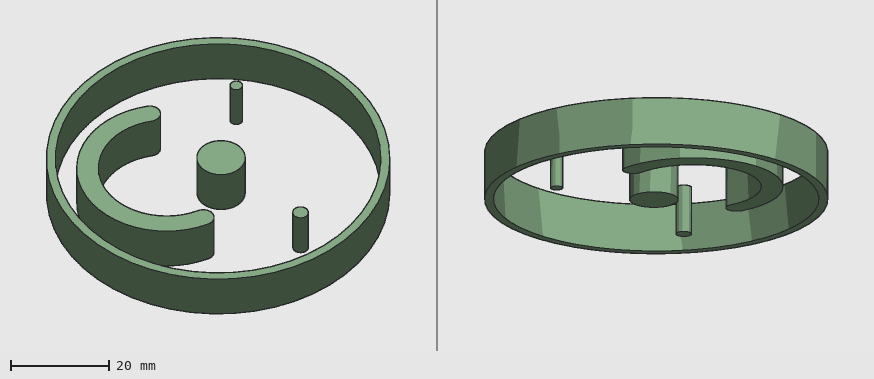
import cadquery as cq
import math

HEIGHT = 10.0

RING_OUTER_DIAMETER = 70.0
RING_INNER_DIAMETER = 66.33

NOSE_DIAMETER = 9.9
NOSE_CENTER = (0.0, 0.63)

LEFT_EYE = ((-18.75, 10.45), 2.55)
RIGHT_EYE = ((20.3, 10.72), 3.21)

MOUTH_CENTER = (-0.83, -10.82)
MOUTH_RADIUS = 16.12
MOUTH_WIDTH = 4.42
MOUTH_RIGHT_ANGLE = 8.4
MOUTH_LEFT_ANGLE = 6.9


def make_ring():
    return (
        cq.Workplane("XY")
        .circle(RING_OUTER_DIAMETER / 2)
        .circle(RING_INNER_DIAMETER / 2)
        .extrude(HEIGHT)
    )


def make_pillar(center, diameter):
    return cq.Workplane("XY").center(*center).circle(diameter / 2).extrude(HEIGHT)


def mouth_point(radius, angle):
    """Point at a radius and an angle in degrees about the mouth centre."""
    x, y = MOUTH_CENTER
    turn = math.radians(angle)
    return (x + radius * math.cos(turn), y + radius * math.sin(turn))


def mouth_tip(angle, direction):
    """Tip of a round end: half a width past the end centre, along the tangent (+1 is counterclockwise)."""
    x, y = mouth_point(MOUTH_RADIUS, angle)
    turn = math.radians(angle)
    reach = direction * MOUTH_WIDTH / 2
    return (x - reach * math.sin(turn), y + reach * math.cos(turn))


def make_mouth():
    inner_radius = MOUTH_RADIUS - MOUTH_WIDTH / 2
    outer_radius = MOUTH_RADIUS + MOUTH_WIDTH / 2
    left = 180 - MOUTH_LEFT_ANGLE
    right = MOUTH_RIGHT_ANGLE
    bottom = 270

    return (
        cq.Workplane("XY")
        .moveTo(*mouth_point(outer_radius, left))
        .threePointArc(mouth_point(outer_radius, bottom), mouth_point(outer_radius, right))
        .threePointArc(mouth_tip(right, 1), mouth_point(inner_radius, right))
        .threePointArc(mouth_point(inner_radius, bottom), mouth_point(inner_radius, left))
        .threePointArc(mouth_tip(left, -1), mouth_point(outer_radius, left))
        .close()
        .extrude(HEIGHT)
    )


ring = make_ring()
nose = make_pillar(NOSE_CENTER, NOSE_DIAMETER)
eyes = [make_pillar(center, diameter) for center, diameter in (LEFT_EYE, RIGHT_EYE)]
mouth = make_mouth()

result = cq.Compound.makeCompound(
    [ring.val(), nose.val(), *[eye.val() for eye in eyes], mouth.val()]
)